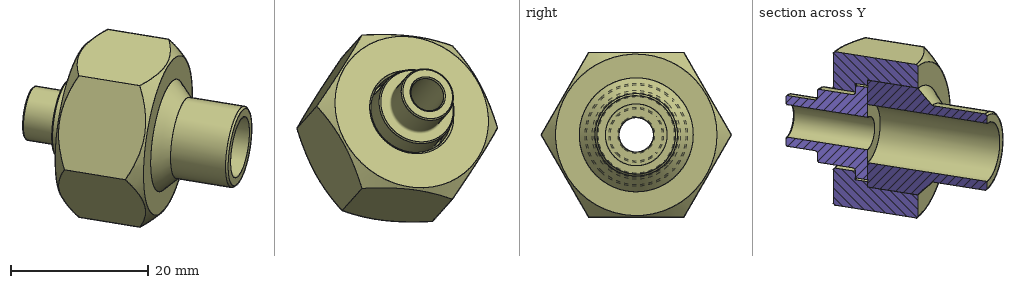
import cadquery as cq
import math


spigot_end = 5.0
nut_start = 7.5
nut_length = 13.5
nut_end = nut_start + nut_length
overall_length = 32.0
nut_shoulder_thickness = 3.5
flange_start = nut_start + nut_shoulder_thickness
flange_thickness = 2.0
flange_end = flange_start + flange_thickness

insert_bore_diameter = 5.0
spigot_diameter = 8.0
collar_diameter = 11.5
flange_diameter = 14.5
nut_mouth_diameter = 12.3
flange_chamber_diameter = 14.95
stub_plug_diameter = 16.6
stub_tail_diameter = 12.0
stub_bore_diameter = 9.0

across_flats = 24.0
across_corners = across_flats / math.cos(math.radians(30))
hex_face_diameter = 23.5

edge_chamfer = 0.2
mouth_chamfer = 0.3
spigot_root_fillet = 0.4
collar_root_fillet = (nut_mouth_diameter - collar_diameter) / 2
tail_chamfer = 0.3


def cylinder(diameter, start, end):
    """Solid cylinder along X between two stations."""
    return cq.Workplane("YZ", origin=(start, 0, 0)).circle(diameter / 2).extrude(end - start)


def revolved(profile):
    """Solid of revolution about X from a closed profile of (x, radius) points."""
    return cq.Workplane("XY").polyline(profile).close().revolve(360, (0, 0, 0), (1, 0, 0))


def make_insert():
    """Bored spigot with a collar and the flange that the nut pulls on."""
    spigot_r = spigot_diameter / 2
    collar_r = collar_diameter / 2
    flange_r = flange_diameter / 2
    bore_r = insert_bore_diameter / 2
    return (
        cq.Workplane("XY")
        .moveTo(edge_chamfer, bore_r)
        .lineTo(0, bore_r + edge_chamfer)
        .lineTo(0, spigot_r - edge_chamfer)
        .lineTo(edge_chamfer, spigot_r)
        .lineTo(spigot_end - spigot_root_fillet, spigot_r)
        .radiusArc((spigot_end, spigot_r + spigot_root_fillet), -spigot_root_fillet)
        .lineTo(spigot_end, collar_r - edge_chamfer)
        .lineTo(spigot_end + edge_chamfer, collar_r)
        .lineTo(flange_start - collar_root_fillet, collar_r)
        .radiusArc((flange_start, collar_r + collar_root_fillet), -collar_root_fillet)
        .lineTo(flange_start, flange_r)
        .lineTo(flange_end, flange_r)
        .lineTo(flange_end, bore_r)
        .close()
        .revolve(360, (0, 0, 0), (1, 0, 0))
    )


def make_nut():
    """Hexagon nut with corners along Y, both ends chamfered, stepped bore."""
    hexagon = (
        cq.Workplane("YZ", origin=(nut_start, 0, 0))
        .polygon(6, across_corners)
        .extrude(nut_length)
    )
    corner_chamfer = (across_corners - hex_face_diameter) / 2
    envelope = cylinder(across_corners, nut_start, nut_end).edges().chamfer(corner_chamfer)
    mouth = cylinder(nut_mouth_diameter, nut_start, flange_start)
    chamber = cylinder(flange_chamber_diameter, flange_start, flange_end)
    socket = cylinder(stub_plug_diameter, flange_end, nut_end)
    mouth_r = nut_mouth_diameter / 2
    mouth_bevel = revolved([
        (nut_start, 0),
        (nut_start, mouth_r + mouth_chamfer),
        (nut_start + mouth_chamfer, mouth_r),
        (nut_start + mouth_chamfer, 0),
    ])
    return hexagon.intersect(envelope).cut(mouth).cut(chamber).cut(socket).cut(mouth_bevel)


def make_stub():
    """Bored plug that fills the nut socket, tapering at 45 degrees to the round tail."""
    plug_r = stub_plug_diameter / 2
    tail_r = stub_tail_diameter / 2
    bore_r = stub_bore_diameter / 2
    taper_end = nut_end + plug_r - tail_r
    return revolved([
        (flange_end, bore_r),
        (flange_end, plug_r),
        (nut_end, plug_r),
        (taper_end, tail_r),
        (overall_length - tail_chamfer, tail_r),
        (overall_length, tail_r - tail_chamfer),
        (overall_length, bore_r),
    ])


insert = make_insert()
nut = make_nut()
stub = make_stub()

result = cq.Compound.makeCompound([insert.val(), nut.val(), stub.val()])